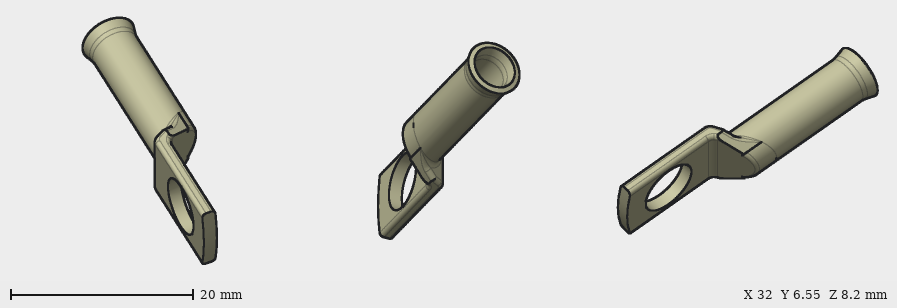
import cadquery as cq
import math

BARREL_RADIUS = 2.75
WALL = 0.7
BORE_DEPTH = 16.0

FLARE_ANGLE = math.radians(15)
LIP_RADIUS = 3.15
FLARE_BEND_RADIUS = 2.3
LIP_X = WALL * math.sin(FLARE_ANGLE)
BEND_RISE = FLARE_BEND_RADIUS * (1 - math.cos(FLARE_ANGLE))
CONE_LENGTH = (LIP_RADIUS - BARREL_RADIUS - BEND_RISE) / math.tan(FLARE_ANGLE)
FLARE_END_X = LIP_X + CONE_LENGTH + FLARE_BEND_RADIUS * math.sin(FLARE_ANGLE)

LENGTH = 31.95
LUG_HALF_WIDTH = 4.1
LUG_THICKNESS = 1.6
LUG_BOTTOM_Y = -3.4
LUG_TOP_Y = LUG_BOTTOM_Y + LUG_THICKNESS
END_BULGE = 0.5
HOLE_DIAMETER = 6.55
HOLE_X = 26.0

SLOPE_ANGLE = math.radians(60)
SLOPE_START_X = 17.1
WEB_THICKNESS = 1.47
WEB_STEP_X = WEB_THICKNESS / math.sin(SLOPE_ANGLE)
BEND_RADIUS = 1.0

FLANK_ANGLE = math.radians(30)
FLANK_STEP = 0.01
TANGENT_Y = BARREL_RADIUS * math.sin(FLANK_ANGLE)
TANGENT_Z = BARREL_RADIUS * math.cos(FLANK_ANGLE)
FLANK_START_Y = TANGENT_Y + FLANK_STEP * math.sin(FLANK_ANGLE)
FLANK_START_Z = TANGENT_Z + FLANK_STEP * math.cos(FLANK_ANGLE)
CORNER_Y = FLANK_START_Y - (LUG_HALF_WIDTH - FLANK_START_Z) / math.tan(FLANK_ANGLE)

EDGE_RADIUS = 0.5
ROOT_RADIUS = 0.6
MARGIN = 1.0


def outer_slope_x(y):
    """X of the web's outer sloping face at height y."""
    return SLOPE_START_X + (BARREL_RADIUS - y) / math.tan(SLOPE_ANGLE)


def inner_slope_x(y):
    """X of the web's inner sloping face, the one towards the mouth, at height y."""
    return outer_slope_x(y) - WEB_STEP_X


def edges_at(body, points):
    """Edges of the body lying nearest to each of the points."""
    return [body.edges(cq.selectors.NearestToPointSelector(point)).val() for point in points]


def fillet_at(body, radius, points):
    """Round the edges nearest to the points, along with their tangent continuations."""
    return cq.Workplane(obj=body.val().fillet(radius, edges_at(body, points)))


def on_both_sides(x, y, z):
    """A point and its mirror image about the XY plane."""
    return [(x, y, z), (x, y, -z)]


def make_barrel():
    """Solid cylinder from the end of the flare to the outer sloping face."""
    low, high = -BARREL_RADIUS - MARGIN, BARREL_RADIUS + MARGIN
    behind_slope = (
        cq.Workplane("XY")
        .polyline([(0, low), (outer_slope_x(low), low), (outer_slope_x(high), high), (0, high)])
        .close()
        .extrude(high, both=True)
    )
    cylinder = cq.Workplane("YZ", origin=(FLARE_END_X, 0, 0)).circle(BARREL_RADIUS).extrude(LENGTH)
    return cylinder.intersect(behind_slope)


def make_bent_sheet():
    """Wide sheet of constant thickness: the slope, the bend and the flat lug."""
    high = BARREL_RADIUS + MARGIN
    sheet = (
        cq.Workplane("XY")
        .moveTo(outer_slope_x(high), high)
        .lineTo(outer_slope_x(LUG_TOP_Y), LUG_TOP_Y)
        .lineTo(LENGTH, LUG_TOP_Y)
        .lineTo(LENGTH, LUG_BOTTOM_Y)
        .lineTo(inner_slope_x(LUG_BOTTOM_Y), LUG_BOTTOM_Y)
        .lineTo(inner_slope_x(high), high)
        .close()
        .extrude(LUG_HALF_WIDTH + MARGIN, both=True)
    )
    bends = [
        (outer_slope_x(LUG_TOP_Y), LUG_TOP_Y, 0),
        (inner_slope_x(LUG_BOTTOM_Y), LUG_BOTTOM_Y, 0),
    ]
    return fillet_at(sheet, BEND_RADIUS, bends)


def trim_to_outlines(body):
    """Trim the wide sheet to its end-on outline and to the arched end of the lug."""
    end_on_outline = (
        cq.Workplane("YZ")
        .moveTo(LUG_BOTTOM_Y, -LUG_HALF_WIDTH)
        .lineTo(CORNER_Y, -LUG_HALF_WIDTH)
        .lineTo(FLANK_START_Y, -FLANK_START_Z)
        .lineTo(TANGENT_Y, -TANGENT_Z)
        .threePointArc((BARREL_RADIUS, 0), (TANGENT_Y, TANGENT_Z))
        .lineTo(FLANK_START_Y, FLANK_START_Z)
        .lineTo(CORNER_Y, LUG_HALF_WIDTH)
        .lineTo(LUG_BOTTOM_Y, LUG_HALF_WIDTH)
        .close()
        .extrude(LENGTH)
    )
    arched_end = (
        cq.Workplane("XZ")
        .moveTo(0, -LUG_HALF_WIDTH)
        .lineTo(LENGTH - END_BULGE, -LUG_HALF_WIDTH)
        .threePointArc((LENGTH, 0), (LENGTH - END_BULGE, LUG_HALF_WIDTH))
        .lineTo(0, LUG_HALF_WIDTH)
        .close()
        .extrude(BARREL_RADIUS + MARGIN, both=True)
    )
    return body.intersect(end_on_outline).intersect(arched_end)


def round_barrel_root(body):
    """Fill the corner where the barrel runs into the inner sloping face."""
    def is_root(edge):
        middle = edge.positionAt(0.5)
        return edge.geomType() == "ELLIPSE" and middle.x < outer_slope_x(middle.y) - WEB_STEP_X / 2

    root_edges = [edge for edge in body.edges().vals() if is_root(edge)]
    return cq.Workplane(obj=body.val().fillet(ROOT_RADIUS, root_edges))


def round_inner_edges(body):
    """Round the mouth-side edges of the lug, the bend and the web's flanks."""
    bend_start_y = LUG_BOTTOM_Y + BEND_RADIUS * (1 - math.cos(SLOPE_ANGLE))
    upright_y = (bend_start_y + CORNER_Y) / 2
    flank_y = (CORNER_Y + FLANK_START_Y) / 2
    flank_z = (LUG_HALF_WIDTH + FLANK_START_Z) / 2
    points = on_both_sides(HOLE_X, LUG_BOTTOM_Y, LUG_HALF_WIDTH)
    points += on_both_sides(inner_slope_x(upright_y), upright_y, LUG_HALF_WIDTH)
    points += on_both_sides(inner_slope_x(flank_y), flank_y, flank_z)
    return fillet_at(body, EDGE_RADIUS, points)


def round_outer_edges(body):
    """Round the outer edges of the lug and of the sloping face, mitred where they meet."""
    lug_rounded = fillet_at(body, EDGE_RADIUS, on_both_sides(HOLE_X, LUG_TOP_Y, LUG_HALF_WIDTH))
    slope_rounded = fillet_at(body, EDGE_RADIUS, [(SLOPE_START_X, BARREL_RADIUS, 0)])
    return lug_rounded.intersect(slope_rounded)


def make_flare():
    """Revolved wall of the mouth, with its rim square to the cone."""
    bend_center_y = BARREL_RADIUS + FLARE_BEND_RADIUS

    def bend_point(radius, angle):
        return (FLARE_END_X - radius * math.sin(angle), bend_center_y - radius * math.cos(angle))

    outer_bend = FLARE_BEND_RADIUS
    inner_bend = FLARE_BEND_RADIUS + WALL
    return (
        cq.Workplane("XY")
        .moveTo(0, LIP_RADIUS - WALL * math.cos(FLARE_ANGLE))
        .lineTo(LIP_X, LIP_RADIUS)
        .lineTo(*bend_point(outer_bend, FLARE_ANGLE))
        .threePointArc(bend_point(outer_bend, FLARE_ANGLE / 2), bend_point(outer_bend, 0))
        .lineTo(*bend_point(inner_bend, 0))
        .threePointArc(bend_point(inner_bend, FLARE_ANGLE / 2), bend_point(inner_bend, FLARE_ANGLE))
        .close()
        .revolve(360, (0, 0), (1, 0))
    )


def make_bore():
    """Blind bore of the straight part of the barrel."""
    return (
        cq.Workplane("YZ", origin=(FLARE_END_X, 0, 0))
        .circle(BARREL_RADIUS - WALL)
        .extrude(BORE_DEPTH - FLARE_END_X)
    )


def make_hole():
    return (
        cq.Workplane("XZ")
        .center(HOLE_X, 0)
        .circle(HOLE_DIAMETER / 2)
        .extrude(-LUG_BOTTOM_Y + MARGIN)
    )


body = round_barrel_root(make_barrel().union(make_bent_sheet()))
body = round_outer_edges(round_inner_edges(trim_to_outlines(body)))
body = body.cut(make_bore()).union(make_flare())
result = body.cut(make_hole())